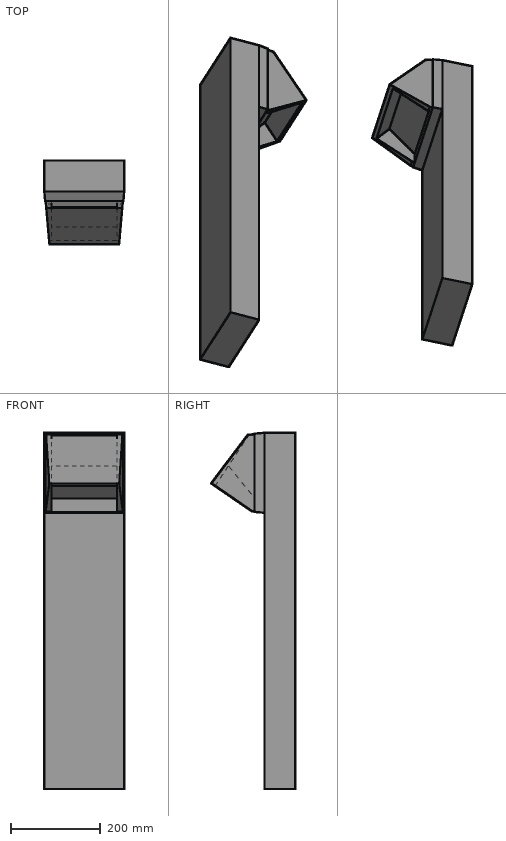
import cadquery as cq
import math

post_width = 180.0
post_depth = 70.0
post_height = 800.0

head_height = post_width
head_reach = 119.0
draft_angle = 5.0
draft = math.tan(math.radians(draft_angle))

plate_depth = 22.0
hood_step = 1.2

tip_drop = 114.0
upper_slope_start = 37.0
lower_slope_start = 28.0
hood_top = post_height - hood_step - plate_depth * draft
hood_bottom = post_height - head_height + hood_step + plate_depth * draft
tip_z = post_height - tip_drop
upper_slope_z = post_height - hood_step - upper_slope_start * draft
lower_slope_z = post_height - head_height + hood_step + lower_slope_start * draft

cavity_width = 147.0
roof_skin = 2.0
lip_setback = 9.0
cavity_top = upper_slope_z - roof_skin
cavity_top_reach = upper_slope_start - roof_skin
lip_reach = head_reach - lip_setback
underside_slope = (tip_z - lower_slope_z) / (head_reach - lower_slope_start)
lip_z = tip_z - lip_setback * underside_slope

block_drop = 147.0
block_face_angle = 51.0
block_bottom = post_height - block_drop


def frustum(width, height, bottom, start, length):
    """Block that tapers at the draft angle as it runs forward from Y = -start."""
    return (
        cq.Workplane("XZ", origin=(0, -start, bottom + height / 2))
        .rect(width, height)
        .extrude(length, taper=draft_angle)
    )


def side_prism(points, width):
    """Prism centred on X = 0 from (reach forward, height) profile points."""
    outline = [(-reach, z) for reach, z in points]
    return cq.Workplane("YZ").polyline(outline).close().extrude(width / 2, both=True)


def make_post():
    return cq.Workplane("XY").box(post_width, post_depth, post_height, centered=(True, False, False))


def make_plate():
    plate = frustum(post_width, head_height, post_height - head_height, 0, plate_depth)
    face_run = 1 / math.tan(math.radians(block_face_angle))
    roof_run = (lip_reach - cavity_top_reach) / (cavity_top - lip_z)
    rise = (lip_reach + roof_run * (lip_z - block_bottom) - plate_depth) / (face_run + roof_run)
    block = side_prism(
        [
            (0, block_bottom),
            (plate_depth, block_bottom),
            (plate_depth + rise * face_run, block_bottom + rise),
            (cavity_top_reach, cavity_top),
            (0, cavity_top),
        ],
        cavity_width,
    )
    return plate.union(block)


def make_hood(plate):
    inset = hood_step + plate_depth * draft
    blank = frustum(
        post_width - 2 * inset, hood_top - hood_bottom, hood_bottom, plate_depth, head_reach - plate_depth
    )
    profile = side_prism(
        [
            (plate_depth, post_height),
            (upper_slope_start, post_height),
            (upper_slope_start, upper_slope_z),
            (head_reach, tip_z),
            (lower_slope_start, lower_slope_z),
            (lower_slope_start, post_height - head_height),
            (plate_depth, post_height - head_height),
        ],
        post_width,
    )
    cavity = side_prism(
        [
            (plate_depth, cavity_top),
            (cavity_top_reach, cavity_top),
            (lip_reach, lip_z),
            (lip_reach, post_height - head_height),
            (plate_depth, post_height - head_height),
        ],
        cavity_width,
    )
    return blank.intersect(profile).cut(cavity).cut(plate)


post = make_post()
plate = make_plate()
hood = make_hood(plate)
result = cq.Compound.makeCompound([post.val(), plate.val(), hood.val()])